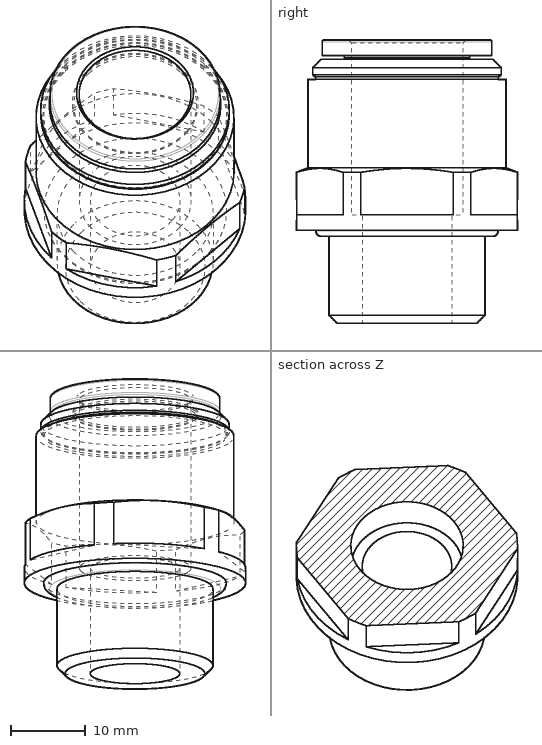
import cadquery as cq

total_height = 38.0
seal_bottom = 11.65
flange_bottom = 12.45
hex_bottom = 14.55
hex_top = 20.85
body_top = 32.7
collar_bottom = 33.1
collar_top = 35.4
ring_bottom = 35.87

spigot_diameter = 20.95
seal_diameter = 24.5
flange_diameter = 29.7
hex_across_flats = 26.98
body_diameter = 26.55
groove_diameter = 24.5
collar_diameter = 25.3
neck_diameter = 16.87
ring_diameter = 22.8

through_diameter = 12.0
tube_diameter = 15.0
tube_seat = hex_bottom

spigot_chamfer = 1.1
seal_round = 0.75
hex_chamfer_drop = 0.6
collar_top_chamfer = 1.15
collar_bottom_chamfer = 0.23
neck_chamfer = 0.2
ring_round = 0.23
mouth_chamfer = 0.35


def disc(diameter, bottom, top):
    """Solid cylinder on the fitting axis between two heights."""
    return cq.Workplane("XY").workplane(offset=bottom).circle(diameter / 2).extrude(top - bottom)


def make_hexagon():
    """Hexagon with flats facing +X and -X, trimmed to the flange and chamfered at the top corners."""
    height = hex_top - hex_bottom
    prism = (
        cq.Workplane("XY", origin=(0, 0, hex_bottom))
        .polygon(6, hex_across_flats, circumscribed=True)
        .extrude(height)
    )
    corner_chamfer = (flange_diameter - body_diameter) / 2
    envelope = disc(flange_diameter, hex_bottom, hex_top).faces(">Z").chamfer(
        hex_chamfer_drop, corner_chamfer
    )
    return prism.intersect(envelope)


def make_collar():
    """Retaining collar with a wide upper chamfer and a narrow lower one."""
    collar = disc(collar_diameter, collar_bottom, collar_top)
    collar = collar.faces(">Z").chamfer(collar_top_chamfer)
    return collar.faces("<Z").chamfer(collar_bottom_chamfer)


spigot = disc(spigot_diameter, 0, flange_bottom).faces("<Z").chamfer(spigot_chamfer)
seal = disc(seal_diameter, seal_bottom, flange_bottom).faces("<Z").fillet(seal_round)
flange = disc(flange_diameter, flange_bottom, hex_bottom)
hexagon = make_hexagon()

body = disc(body_diameter, hex_top, body_top)
groove = disc(groove_diameter, body_top, collar_bottom)
collar = make_collar()
neck = disc(neck_diameter, collar_top, ring_bottom).faces("<Z").chamfer(neck_chamfer)
ring = disc(ring_diameter, ring_bottom, total_height).faces("<Z or >Z").edges().fillet(ring_round)

result = spigot
for section in (seal, flange, hexagon, body, groove, collar, neck, ring):
    result = result.union(section)

result = result.cut(disc(through_diameter, 0, total_height))
result = result.cut(disc(tube_diameter, tube_seat, total_height))
mouth_edge = cq.selectors.RadiusNthSelector(0)
result = result.faces(">Z").edges(mouth_edge).chamfer(mouth_chamfer)